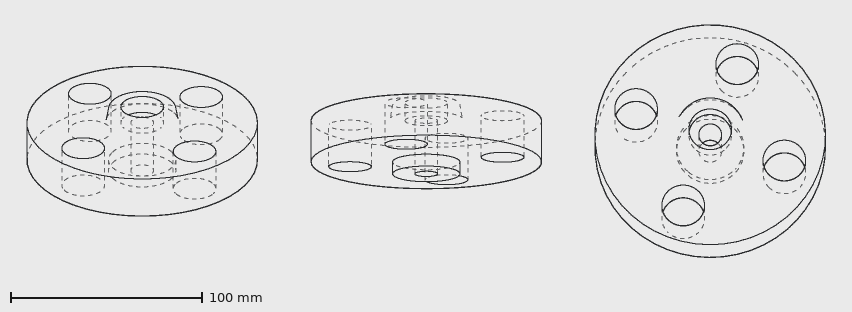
import cadquery as cq
import math

flange_diameter = 120.6
flange_thickness = 22.3

face_diameter = 35.2
face_height = 6.4

hub_base_diameter = 38.1
hub_height = 9.4
hub_taper = 10.0
hub_top_diameter = hub_base_diameter - 2 * hub_height * math.tan(math.radians(hub_taper))
hub_fillet = 1.6

bore_diameter = 12.0
socket_diameter = 22.3
socket_depth = 9.5

bolt_count = 4
bolt_hole_diameter = 22.3
bolt_circle_diameter = 82.5

face_z = -face_height
hub_top_z = flange_thickness + hub_height
total_height = hub_top_z - face_z


def cylinder(diameter, bottom_z, height):
    return cq.Workplane("XY").workplane(offset=bottom_z).circle(diameter / 2).extrude(height)


def tapered_hub():
    """Solid cone frustum standing on the flange."""
    return (
        cq.Workplane("XY")
        .workplane(offset=flange_thickness)
        .circle(hub_base_diameter / 2)
        .workplane(offset=hub_height)
        .circle(hub_top_diameter / 2)
        .loft(ruled=True)
    )


def hub_edges(body):
    """Select the circles at the top and the root of the hub."""
    margin = 1.2
    reach = hub_base_diameter / 2 + margin
    box = cq.selectors.BoxSelector(
        (-reach, -reach, flange_thickness - margin),
        (reach, reach, hub_top_z + margin),
        boundingbox=True,
    )
    return body.edges(box).edges("%CIRCLE")


def bolt_holes():
    return (
        cq.Workplane("XY")
        .polarArray(bolt_circle_diameter / 2, 0, 360, bolt_count)
        .circle(bolt_hole_diameter / 2)
        .extrude(flange_thickness)
    )


body = cylinder(flange_diameter, 0, flange_thickness)
body = body.union(cylinder(face_diameter, face_z, face_height))
body = body.union(tapered_hub())
body = hub_edges(body).fillet(hub_fillet)

body = body.cut(bolt_holes())
body = body.cut(cylinder(bore_diameter, face_z, total_height))
body = body.cut(cylinder(socket_diameter, hub_top_z - socket_depth, socket_depth))

result = body